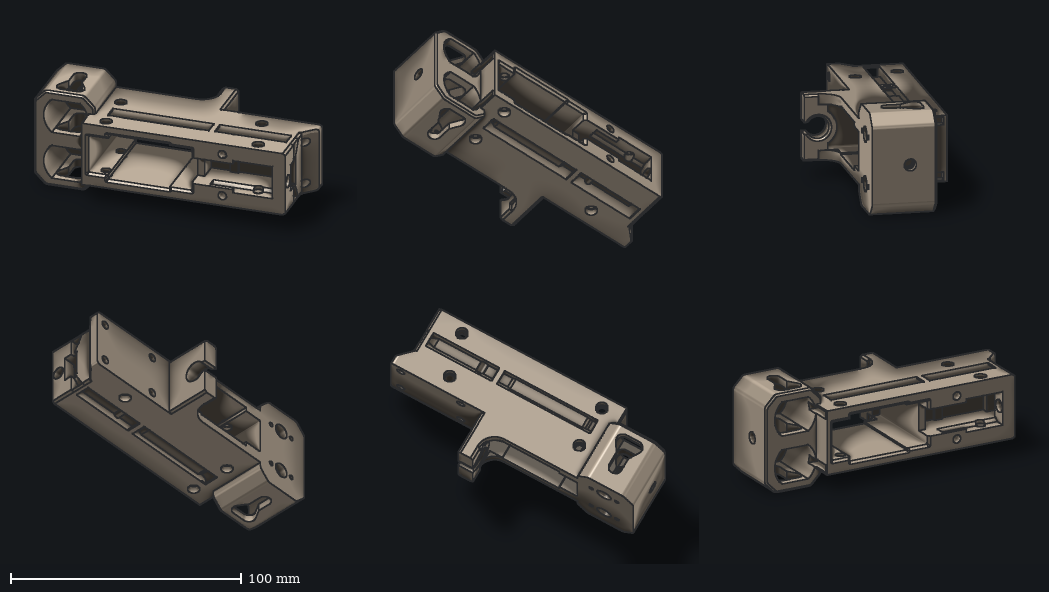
import cadquery as cq
import math

FRAME_LEFT = 25.2
FRAME_RIGHT = 118.8
FRAME_HALF_HEIGHT = 14.8
FRAME_BACK = 32.3
CAVITY_BACK = 38.7
LIP_RIGHT = 124.8
LIP_FRONT = 28.1
NECK_Y = 22.1
LIP_KINK = (121.6, 25.1)
LIP_FILLET = 1.6
EDGE_CHAMFER_X = 1.2
EDGE_CHAMFER_Z = 0.9
SLOPE_CHAMFER_Z = 1.5
SLOPE_CHAMFER_DEPTH = 0.4

TAB_LEFT = 71.7
TAB_RIGHT = 79.1
TAB_BACK = 53.5
COVE_RADIUS = 8.5
COVE_INNER_Z = 10.2
CLIP_Y = 47.4
CLIP_RADIUS = 5.0
CLIP_CHAMFER = 1.0
CLIP_GAP = 5.4
CLIP_BOSS_RADIUS = 8.4
RELIEF_BACK = 43.0

BLOCK_WIDTH = 28.0
BLOCK_FRONT = 9.7
BLOCK_HALF_HEIGHT = 22.8
BLOCK_CORNER = 5.1
BLOCK_CORNER_FILLET = 2.6
BLOCK_FRONT_CHAMFER = 0.9
MOTOR_X = 14.7
MOTOR_Z = 11.1
MOTOR_RADIUS = 10.2
MOTOR_FLAT = 15.8
MOTOR_PLATE = 3.7
SHAFT_HOLE_RADIUS = 3.5
MOTOR_SCREW_RADIUS = 1.0
MOTOR_SCREW_OFFSET = 6.4
KEY_TOP_Y = 28.6
KEY_RADIUS = 3.0
KEY_NECK_Y = 22.5
KEY_BASE_Y = 13.3
KEY_BASE_HALF = 8.6
KEY_FILLET = 3.0

CAVITY_LEFT = 28.1
CAVITY_RIGHT = 75.6
CAVITY_STEPS = (37.0, 65.4)
CAVITY_HALF_HEIGHTS = (8.9, 10.9, 10.1)
CAVITY_CORNER = 0.9
CAVITY_FLARE = 1.1

POCKET_HALF_HEIGHT = 6.2
POCKET_RIGHT = 112.8
POCKET_SILL_RIGHT = 78.8
POCKET_SILL_Y = 8.5
POCKET_BACK = 17.5
RIB_LEFT = 87.8
RIB_RIGHT = 91.7
RIB_HEIGHT = 1.2
GROOVE_LEFT = 83.6
GROOVE_HALF_HEIGHT = 7.7
GROOVE_FRONT = 1.9
GROOVE_RAMP = (5.0, 6.5)
NOTCH_LEFT = 94.5
END_HOLE_Y = 3.5
END_HOLE_RADIUS = 2.9
EXIT_FRONT = 7.2
EXIT_BACK = 14.3

CHANNEL_FRONT = 11.1
CHANNEL_BACK = 18.1
CHANNEL_BACK_ANGLE = 30.0
CHANNEL_LOW_Z = 10.6
CHANNEL_HIGH_Z = 11.9
CHANNEL_ROOF_Z = 14.1
CHANNEL_RISE = (35.9, 38.3)
CHANNEL_FALL = (74.2, 75.8)
CHANNEL_DROP = 112.6
ENTRY_FRONT = 1.5
ENTRY_RIGHT = 29.3
ENTRY_BEND_Y = 4.6
SLOTS = ((33.4, 79.8), (82.6, 115.4))

SCREW_RADIUS = 2.1
SCREW_BORE_RADIUS = 2.6
SCREW_BORE_DEPTH = 3.7
THROUGH_SCREWS = ((34.7, 25.1), (34.7, 5.2), (99.4, 25.1))
BLIND_SCREW = (104.5, 5.2)
BLIND_SCREW_DEPTH = 22.8
SIDE_SCREW_Y = 21.7
SIDE_SCREW_DEPTH = 6.2
PIN_RADIUS = 1.9
FRAME_PIN_X = 89.8
LIP_PIN_X = 119.8
PIN_Z = 10.0

OVERCUT = 1.2


def box(x0, x1, y0, y1, z0, z1):
    """Box between two opposite corners."""
    return cq.Workplane("XY").box(x1 - x0, y1 - y0, z1 - z0, centered=False).translate((x0, y0, z0))


def front_plane(y):
    """Sketch plane at y, facing -Y, with local x along X and local y along Z."""
    return cq.Workplane(cq.Plane(origin=(0, y, 0), xDir=(1, 0, 0), normal=(0, -1, 0)))


def rod_y(x, z, radius, y0, y1):
    """Cylinder along Y."""
    return front_plane(y1).center(x, z).circle(radius).extrude(y1 - y0)


def rod_x(y, z, radius, x0, x1):
    """Cylinder along X."""
    return cq.Workplane("YZ").workplane(offset=x0).center(y, z).circle(radius).extrude(x1 - x0)


def both_sides(shape):
    """Shape together with its mirror image about Z = 0."""
    return shape.union(shape.mirror("XY"))


def frame_body():
    tab_middle = (TAB_LEFT + TAB_RIGHT) / 2
    outline = [
        (FRAME_LEFT, 0), (FRAME_RIGHT, 0), (FRAME_RIGHT, NECK_Y), LIP_KINK, (LIP_RIGHT, LIP_FRONT),
        (LIP_RIGHT, FRAME_BACK), (tab_middle, FRAME_BACK), (tab_middle, CAVITY_BACK),
        (FRAME_LEFT, CAVITY_BACK),
    ]
    body = cq.Workplane("XY").polyline(outline).close().extrude(FRAME_HALF_HEIGHT, both=True)
    return body.faces(">X").edges("|Y").fillet(LIP_FILLET).cut(end_wedges())


def end_wedges():
    """Wedges that bevel the top and bottom edges of the right end and of the slope under the lip."""
    top = FRAME_HALF_HEIGHT
    end = front_plane(NECK_Y).polyline([
        (FRAME_RIGHT - EDGE_CHAMFER_X, top), (FRAME_RIGHT, top), (FRAME_RIGHT, top - EDGE_CHAMFER_Z),
    ]).close().extrude(NECK_Y + OVERCUT)
    run = LIP_RIGHT - FRAME_RIGHT
    rise = LIP_FRONT - NECK_Y
    slope_plane = cq.Plane(
        origin=(FRAME_RIGHT, NECK_Y, top), xDir=(-rise, run, 0), normal=(run, rise, 0))
    slope = cq.Workplane(slope_plane).polyline([
        (SLOPE_CHAMFER_DEPTH, 0), (0, -SLOPE_CHAMFER_Z), (-OVERCUT, -SLOPE_CHAMFER_Z), (-OVERCUT, 0),
    ]).close().extrude(math.hypot(run, rise))
    return both_sides(end.union(slope))


def tab():
    half = FRAME_HALF_HEIGHT
    outline = [
        (TAB_LEFT, half - EDGE_CHAMFER_Z), (TAB_LEFT + EDGE_CHAMFER_X, half),
        (TAB_RIGHT - EDGE_CHAMFER_X, half), (TAB_RIGHT, half - EDGE_CHAMFER_Z),
    ]
    outline += [(x, -z) for x, z in reversed(outline)]
    upper = front_plane(TAB_BACK).polyline(outline).close().extrude(TAB_BACK - FRAME_BACK)
    root = box(TAB_LEFT, TAB_RIGHT, FRAME_BACK - OVERCUT, FRAME_BACK, -half, half)
    return upper.union(root)


def cove_block():
    """Square blocks at the foot of the tab and the cylinder that hollows them into coves."""
    right = TAB_LEFT + EDGE_CHAMFER_X
    top = CAVITY_BACK + COVE_RADIUS
    block = box(right - COVE_RADIUS, right, CAVITY_BACK, top, COVE_INNER_Z, FRAME_HALF_HEIGHT)
    hollow = (
        cq.Workplane("XY").workplane(offset=COVE_INNER_Z).center(right - COVE_RADIUS, top)
        .circle(COVE_RADIUS).extrude(FRAME_HALF_HEIGHT)
    )
    hollow = hollow.intersect(box(0, right, CAVITY_BACK, top, 0, 2 * FRAME_HALF_HEIGHT))
    return both_sides(block), both_sides(hollow)


def clip_cuts():
    hole = rod_x(CLIP_Y, 0, CLIP_RADIUS, TAB_LEFT - OVERCUT, TAB_RIGHT + OVERCUT)
    flare = (
        cq.Workplane("YZ").workplane(offset=TAB_LEFT).center(CLIP_Y, 0)
        .circle(CLIP_RADIUS + CLIP_CHAMFER).extrude(CLIP_CHAMFER, taper=45)
    )
    gap = box(
        TAB_LEFT - OVERCUT, TAB_RIGHT + OVERCUT, CLIP_Y, TAB_BACK + OVERCUT, -CLIP_GAP / 2, CLIP_GAP / 2)
    return hole.union(flare).union(gap)


def motor_block():
    depth = CAVITY_BACK - BLOCK_FRONT
    block = (
        front_plane(CAVITY_BACK).center(BLOCK_WIDTH / 2, 0).rect(BLOCK_WIDTH, 2 * BLOCK_HALF_HEIGHT)
        .extrude(depth).edges("|Y").chamfer(BLOCK_CORNER).edges("|Y").fillet(BLOCK_CORNER_FILLET)
    )
    return block.faces("<Y").edges().chamfer(BLOCK_FRONT_CHAMFER)


def motor_cuts():
    pocket_back = CAVITY_BACK - MOTOR_PLATE
    pocket = rod_y(MOTOR_X, MOTOR_Z, MOTOR_RADIUS, -OVERCUT, pocket_back)
    flats = box(
        0, BLOCK_WIDTH, -OVERCUT, pocket_back, MOTOR_Z - MOTOR_FLAT / 2, MOTOR_Z + MOTOR_FLAT / 2)
    cuts = pocket.intersect(flats)
    cuts = cuts.union(rod_y(MOTOR_X, MOTOR_Z, SHAFT_HOLE_RADIUS, 0, CAVITY_BACK + OVERCUT))
    for side in (-1, 1):
        screw_x = MOTOR_X + side * MOTOR_SCREW_OFFSET
        cuts = cuts.union(rod_y(screw_x, MOTOR_Z, MOTOR_SCREW_RADIUS, 0, CAVITY_BACK + OVERCUT))
    return both_sides(cuts)


def keyhole():
    height = 2 * (BLOCK_HALF_HEIGHT + OVERCUT)
    base = cq.Workplane("XY").workplane(offset=-height / 2).center(MOTOR_X, 0)
    stem = base.moveTo(0, KEY_TOP_Y).circle(KEY_RADIUS).extrude(height)
    neck = (
        base.moveTo(0, (KEY_TOP_Y + KEY_NECK_Y) / 2)
        .rect(2 * KEY_RADIUS, KEY_TOP_Y - KEY_NECK_Y).extrude(height)
    )
    wide_end = base.polyline([
        (-KEY_RADIUS, KEY_NECK_Y), (-KEY_BASE_HALF, KEY_BASE_Y),
        (KEY_BASE_HALF, KEY_BASE_Y), (KEY_RADIUS, KEY_NECK_Y),
    ]).close().extrude(height).edges("|Z and <Y").fillet(KEY_FILLET)
    return stem.union(neck).union(wide_end)


def main_cavity():
    step_1, step_2 = CAVITY_STEPS
    low, high, mid = CAVITY_HALF_HEIGHTS
    upper = [
        (CAVITY_LEFT, low), (step_1, low), (step_1, high),
        (step_2, high), (step_2, mid), (CAVITY_RIGHT, mid),
    ]
    outline = upper + [(x, -z) for x, z in reversed(upper)]
    back = RELIEF_BACK
    cavity = front_plane(back).polyline(outline).close().extrude(back + OVERCUT)
    cavity = cavity.edges("|Y").edges("<X or >X").fillet(CAVITY_CORNER)
    flare = (
        front_plane(0).polyline(outline).close()
        .offset2D(CAVITY_FLARE).extrude(-CAVITY_FLARE, taper=45)
    )
    boss = rod_x(CLIP_Y, 0, CLIP_BOSS_RADIUS, TAB_LEFT, TAB_RIGHT)
    return cavity.cut(boss).union(flare)


def switch_pocket():
    half = POCKET_HALF_HEIGHT
    front = -OVERCUT
    cuts = box(CAVITY_RIGHT - OVERCUT, POCKET_SILL_RIGHT, front, POCKET_SILL_Y, -half, half)
    cuts = cuts.union(box(POCKET_SILL_RIGHT, POCKET_RIGHT, front, POCKET_BACK, -half, half))
    cuts = cuts.cut(box(RIB_LEFT, RIB_RIGHT, POCKET_BACK - RIB_HEIGHT, POCKET_BACK, -half, half))
    ramp_start, ramp_end = GROOVE_RAMP

    def groove(left, groove_front):
        points = [
            (groove_front, 0), (groove_front, GROOVE_HALF_HEIGHT), (ramp_start, GROOVE_HALF_HEIGHT),
            (ramp_end, half), (ramp_end, 0),
        ]
        sketch = cq.Workplane("YZ").workplane(offset=left).polyline(points).close()
        return both_sides(sketch.extrude(POCKET_RIGHT - left))

    cuts = cuts.union(groove(GROOVE_LEFT, GROOVE_FRONT)).union(groove(NOTCH_LEFT, front))
    wall_left = POCKET_RIGHT - OVERCUT
    wall_right = FRAME_RIGHT + OVERCUT
    cuts = cuts.union(rod_x(END_HOLE_Y, 0, END_HOLE_RADIUS, wall_left, wall_right))
    return cuts.union(box(wall_left, wall_right, EXIT_FRONT, EXIT_BACK, -half, half))


def wire_channel():
    """Channel in the top wall, with its entry at the left and its slots through the skin."""
    end = FRAME_RIGHT + OVERCUT
    drop_end_z = CHANNEL_LOW_Z - (end - CHANNEL_DROP)
    profile = [
        (ENTRY_RIGHT, CHANNEL_ROOF_Z), (ENTRY_RIGHT, CHANNEL_LOW_Z), (CHANNEL_RISE[0], CHANNEL_LOW_Z),
        (CHANNEL_RISE[1], CHANNEL_HIGH_Z), (CHANNEL_FALL[0], CHANNEL_HIGH_Z),
        (CHANNEL_FALL[1], CHANNEL_LOW_Z), (CHANNEL_DROP, CHANNEL_LOW_Z), (end, drop_end_z),
        (end, CHANNEL_ROOF_Z),
    ]
    channel = front_plane(CHANNEL_BACK).polyline(profile).close().extrude(CHANNEL_BACK - CHANNEL_FRONT)
    for left, right in SLOTS:
        skin = box(
            left, right, CHANNEL_FRONT, CHANNEL_BACK, CHANNEL_HIGH_Z, FRAME_HALF_HEIGHT)
        channel = channel.union(skin)
    lean = math.tan(math.radians(CHANNEL_BACK_ANGLE))
    leaning_prism = cq.Workplane("YZ").polyline([
        (CHANNEL_FRONT, 0), (CHANNEL_BACK - FRAME_HALF_HEIGHT * lean, 0),
        (CHANNEL_BACK, FRAME_HALF_HEIGHT), (CHANNEL_FRONT, FRAME_HALF_HEIGHT),
    ]).close().extrude(end)
    channel = channel.intersect(leaning_prism)

    entry_left = MOTOR_X + MOTOR_RADIUS - OVERCUT
    bend = CHANNEL_FRONT - ENTRY_BEND_Y
    diagonal = bend * math.sqrt(0.5)
    bend_x = ENTRY_RIGHT + bend
    entry_back = CHANNEL_BACK - (FRAME_HALF_HEIGHT - CHANNEL_LOW_Z) * lean
    entry = (
        cq.Workplane("XY").workplane(offset=CHANNEL_LOW_Z)
        .moveTo(entry_left, ENTRY_FRONT).lineTo(ENTRY_RIGHT, ENTRY_FRONT).lineTo(ENTRY_RIGHT, ENTRY_BEND_Y)
        .threePointArc((bend_x - diagonal, ENTRY_BEND_Y + diagonal), (bend_x, CHANNEL_FRONT))
        .lineTo(bend_x, entry_back).lineTo(entry_left, entry_back).close()
        .extrude(CHANNEL_ROOF_Z - CHANNEL_LOW_Z)
    )
    return channel.union(entry)


def screw_cut(depth):
    """Counterbored screw hole from the origin down along -Z."""
    hole = cq.Workplane("XY").circle(SCREW_RADIUS).extrude(-depth)
    bore = cq.Workplane("XY").circle(SCREW_BORE_RADIUS).extrude(-SCREW_BORE_DEPTH)
    return hole.union(bore)


def screw_cuts():
    top = FRAME_HALF_HEIGHT
    cuts = screw_cut(BLIND_SCREW_DEPTH).translate((*BLIND_SCREW, top))
    for x, y in THROUGH_SCREWS:
        cuts = cuts.union(both_sides(screw_cut(top).translate((x, y, top))))
    side = screw_cut(SIDE_SCREW_DEPTH).rotate((0, 0, 0), (0, 1, 0), -90).translate((0, SIDE_SCREW_Y, 0))
    cuts = cuts.union(side)
    for x, start in ((FRAME_PIN_X, -OVERCUT), (LIP_PIN_X, NECK_Y)):
        cuts = cuts.union(both_sides(rod_y(x, PIN_Z, PIN_RADIUS, start, FRAME_BACK + OVERCUT)))
    return cuts


cove, cove_hollow = cove_block()
result = frame_body().union(tab()).union(cove).cut(cove_hollow)
result = result.cut(main_cavity()).cut(clip_cuts())
result = result.union(motor_block()).cut(motor_cuts()).cut(keyhole())
result = result.cut(switch_pocket()).cut(both_sides(wire_channel())).cut(screw_cuts())